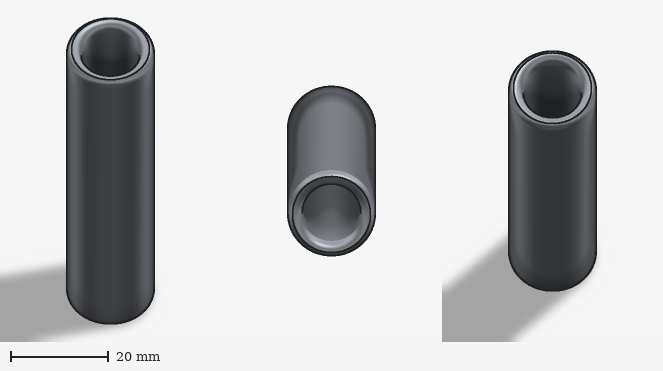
import cadquery as cq

length = 80.0
outer_diameter = 18.0
bore_diameter = 12.0

bore_round_radius = 2.0
outer_round_height = 1.6

outer_radius = outer_diameter / 2
bore_radius = bore_diameter / 2
rim_radius = bore_radius + bore_round_radius

outer_round_width = outer_radius - rim_radius
outer_round_radius = (outer_round_width**2 + outer_round_height**2) / (2 * outer_round_width)

rim_height = length / 2
bore_straight_height = rim_height - bore_round_radius
outer_straight_height = rim_height - outer_round_height

wall_section = (
    cq.Workplane("XZ")
    .moveTo(bore_radius, -bore_straight_height)
    .lineTo(bore_radius, bore_straight_height)
    .radiusArc((rim_radius, rim_height), bore_round_radius)
    .radiusArc((outer_radius, outer_straight_height), outer_round_radius)
    .lineTo(outer_radius, -outer_straight_height)
    .radiusArc((rim_radius, -rim_height), outer_round_radius)
    .radiusArc((bore_radius, -bore_straight_height), bore_round_radius)
    .close()
)

result = wall_section.revolve(360, (0, 0, 0), (0, 1, 0))